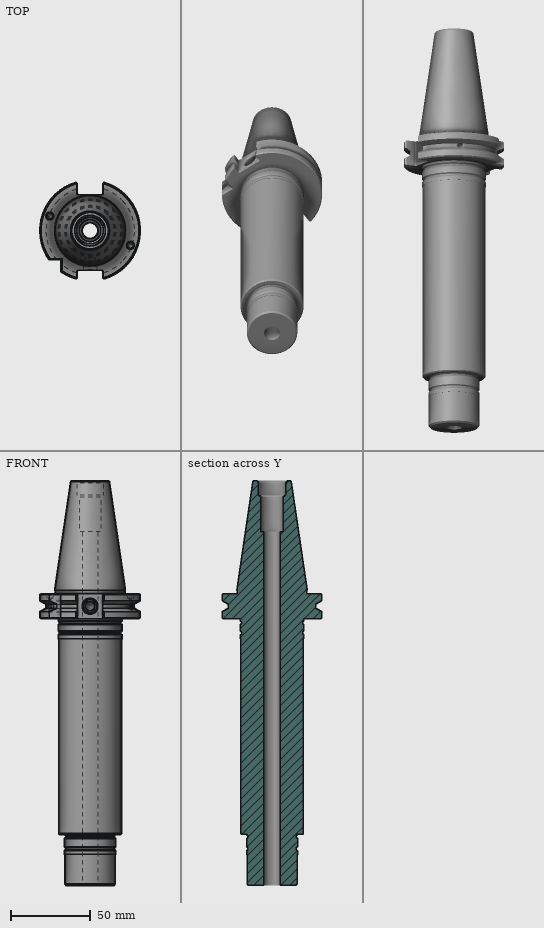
import cadquery as cq
import math

total_height = 256.2
gauge_z = 187.0
flange_top = 184.8
flange_thickness = 16.0
flange_bottom = flange_top - flange_thickness
body_bottom = 32.3

taper_ratio = 7 / 24
gauge_radius = 44.8 / 2
shank_neck_radius = 44.3 / 2
shank_top_radius = gauge_radius - (total_height - gauge_z) * taper_ratio / 2
shank_top_chamfer = 0.8
shank_base_fillet = 0.5

flange_radius = 63.5 / 2
flange_edge_chamfer = 0.8
groove_floor_radius = 28.0
groove_flank_angle = 30
groove_flank_height = (flange_radius - groove_floor_radius) * math.tan(math.radians(groove_flank_angle))
groove_mid_z = flange_bottom + flange_thickness / 2
groove_half_floor = 1.3
groove_half_mouth = groove_half_floor + groove_flank_height

cut_reach = flange_radius + 2.5
slot_half_width = 8.2
front_slot_floor = 25.0
rear_slot_floor = 22.8
notch_offset = 18.5
notch_edge_chamfer = 0.8
slot_corner_fillet = 0.8
slot_edge_chamfer = 0.8

body_radius = 40.0 / 2
body_collar_radius = 40.5 / 2
nose_radius = 32.0 / 2
nose_collar_radius = 32.5 / 2
body_edge_chamfer = 0.8
nose_edge_chamfer = 1.0
shoulder_height = 1.3
body_collar_height = 3.8
nose_collar_height = 5.0
collar_groove_width = 2.5
collar_ring_height = 2.3
collar_groove_depth = 0.8

bore_radius = 10.0 / 2
thread_radius = 13.8 / 2
counterbore_radius = 17.0 / 2
mouth_radius = 19.5 / 2
mouth_depth = 1.3
counterbore_depth = 9.0
cone_depth = 1.3
thread_depth = 32.0

slot_mouth_diameter = 10.0
slot_mouth_depth = 0.8
slot_step_diameter = 8.5
slot_step_depth = 5.6
slot_hole_diameter = 6.0
slot_hole_depth = 8.2

port_circle_radius = 27.2
port_angles = (160, 340)
top_port_diameter = 3.8
side_port_diameter = 3.3
port_mouth_diameter = 4.9
port_mouth_depth = 0.5
port_depth = 2.5
drill_point_angle = 118


def add_groove(profile, top, ring_radius):
    """Continue the profile down through one groove with sloped flanks."""
    floor_radius = ring_radius - collar_groove_depth
    bottom = top - collar_groove_width
    return (
        profile.lineTo(ring_radius, top)
        .lineTo(floor_radius, top - collar_groove_depth)
        .lineTo(floor_radius, bottom + collar_groove_depth)
        .lineTo(ring_radius, bottom)
    )


def add_collar(profile, top, height, ring_radius, core_radius):
    """Continue the profile through a groove, a collar, a second groove and a narrow ring."""
    second_groove_top = top - collar_groove_width - height
    ring_bottom = second_groove_top - collar_groove_width - collar_ring_height
    profile = add_groove(profile, top, ring_radius)
    profile = add_groove(profile, second_groove_top, ring_radius)
    return profile.lineTo(ring_radius, ring_bottom).lineTo(core_radius, ring_bottom)


def turned_blank():
    """Everything that is turned about the Z axis, without the bore."""
    shank_fillet_mid = shank_base_fillet * (1 - math.sqrt(0.5))
    outline = (
        cq.Workplane("XZ")
        .moveTo(0, total_height)
        .lineTo(shank_top_radius - shank_top_chamfer, total_height)
        .lineTo(shank_top_radius, total_height - shank_top_chamfer)
        .lineTo(gauge_radius, gauge_z)
        .lineTo(shank_neck_radius, gauge_z)
        .lineTo(shank_neck_radius, flange_top + shank_base_fillet)
        .threePointArc(
            (shank_neck_radius + shank_fillet_mid, flange_top + shank_fillet_mid),
            (shank_neck_radius + shank_base_fillet, flange_top),
        )
        .lineTo(flange_radius - flange_edge_chamfer, flange_top)
        .lineTo(flange_radius, flange_top - flange_edge_chamfer)
        .lineTo(flange_radius, groove_mid_z + groove_half_mouth)
        .lineTo(groove_floor_radius, groove_mid_z + groove_half_floor)
        .lineTo(groove_floor_radius, groove_mid_z - groove_half_floor)
        .lineTo(flange_radius, groove_mid_z - groove_half_mouth)
        .lineTo(flange_radius, flange_bottom + flange_edge_chamfer)
        .lineTo(flange_radius - flange_edge_chamfer, flange_bottom)
    )
    outline = outline.lineTo(body_collar_radius, flange_bottom)
    outline = add_collar(
        outline, flange_bottom - shoulder_height, body_collar_height, body_collar_radius, body_radius
    )
    outline = (
        outline.lineTo(body_radius, body_bottom + body_edge_chamfer)
        .lineTo(body_radius - body_edge_chamfer, body_bottom)
    )
    outline = add_collar(outline, body_bottom, nose_collar_height, nose_collar_radius, nose_radius)
    outline = (
        outline.lineTo(nose_radius, nose_edge_chamfer)
        .lineTo(nose_radius - nose_edge_chamfer, 0)
        .lineTo(0, 0)
        .close()
    )
    return outline.revolve(360, (0, 0, 0), (0, 1, 0))


def central_bore():
    """Stepped through bore: flared mouth, counterbore, cone, thread core and a plain bore below."""
    return (
        cq.Workplane("XZ")
        .moveTo(0, total_height)
        .lineTo(mouth_radius, total_height)
        .lineTo(counterbore_radius, total_height - mouth_depth)
        .lineTo(counterbore_radius, total_height - counterbore_depth)
        .lineTo(thread_radius, total_height - counterbore_depth - cone_depth)
        .lineTo(thread_radius, total_height - thread_depth)
        .lineTo(bore_radius, total_height - thread_depth)
        .lineTo(bore_radius, 0)
        .lineTo(0, 0)
        .close()
        .revolve(360, (0, 0, 0), (0, 1, 0))
    )


def flange_prism(points):
    """Vertical prism over the flange thickness."""
    base = cq.Workplane("XY").workplane(offset=flange_bottom)
    return base.polyline(points).close().extrude(flange_thickness)


def wall_end(wall_offset):
    """Distance along a wall, at the given offset from the axis, where it meets the flange rim."""
    return math.sqrt(flange_radius**2 - wall_offset**2)


def drive_slot(floor):
    """Slot on the +Y side with rounded floor corners and flared ends."""
    mouth_half_width = slot_half_width + slot_edge_chamfer
    lip = wall_end(mouth_half_width)
    flare_start = lip - slot_edge_chamfer
    slot = flange_prism([
        (-slot_half_width, floor),
        (slot_half_width, floor),
        (slot_half_width, cut_reach),
        (-slot_half_width, cut_reach),
    ])
    slot = slot.edges("|Z and <Y").fillet(slot_corner_fillet)
    flare = flange_prism([
        (-slot_half_width, flare_start),
        (slot_half_width, flare_start),
        (mouth_half_width, lip),
        (mouth_half_width, cut_reach),
        (-mouth_half_width, cut_reach),
        (-mouth_half_width, lip),
    ])
    return slot.union(flare)


def orientation_notch():
    """Square corner notch on the -X, -Y side, bevelled along the flange top and bottom."""
    center = -(cut_reach + notch_offset) / 2
    side = cut_reach - notch_offset
    notch = cq.Workplane("XY").box(side, side, flange_thickness).translate((center, center, groove_mid_z))
    inner_width = 2 * side
    outer_width = inner_width + 2 * notch_edge_chamfer
    for face_z, inward in ((flange_top, -1), (flange_bottom, 1)):
        bevel = (
            cq.Workplane("XY", origin=(-cut_reach, -cut_reach, face_z))
            .rect(outer_width, outer_width)
            .workplane(offset=inward * notch_edge_chamfer)
            .rect(inner_width, inner_width)
            .loft()
        )
        notch = notch.union(bevel)
    return notch


def drill_point(diameter, start, direction):
    """Cone left by the tip of a drill."""
    radius = diameter / 2
    height = radius / math.tan(math.radians(drill_point_angle / 2))
    return cq.Workplane(cq.Solid.makeCone(radius, 0, height, start, direction))


def drill(diameter, depth, start, direction):
    """Drilled hole with a conical end below its full-diameter depth."""
    shaft = cq.Workplane(cq.Solid.makeCylinder(diameter / 2, depth, start, direction))
    return shaft.union(drill_point(diameter, start + direction * depth, direction))


def countersink(mouth_diameter, diameter, depth, start, direction):
    """Conical opening narrowing from the mouth to the hole."""
    return cq.Workplane(cq.Solid.makeCone(mouth_diameter / 2, diameter / 2, depth, start, direction))


def slot_hole():
    """Stepped hole with a countersunk mouth in the floor of the front drive slot."""
    start = cq.Vector(0, -front_slot_floor, groove_mid_z)
    inward = cq.Vector(0, 1, 0)
    step = cq.Solid.makeCylinder(slot_step_diameter / 2, slot_step_depth, start, inward)
    mouth = countersink(slot_mouth_diameter, slot_step_diameter, slot_mouth_depth, start, inward)
    return drill(slot_hole_diameter, slot_hole_depth, start, inward).union(cq.Workplane(step)).union(mouth)


def flange_port(angle):
    """Countersunk hole in the flange top and, below it, a radial one in the groove floor."""
    outward = cq.Vector(math.cos(math.radians(angle)), math.sin(math.radians(angle)), 0)
    inward = outward * -1
    down = cq.Vector(0, 0, -1)
    top = outward * port_circle_radius + cq.Vector(0, 0, flange_top)
    side = outward * groove_floor_radius + cq.Vector(0, 0, groove_mid_z)
    top_mouth = countersink(port_mouth_diameter, top_port_diameter, port_mouth_depth, top, down)
    side_mouth = countersink(port_mouth_diameter, side_port_diameter, port_mouth_depth, side, inward)
    top_port = drill(top_port_diameter, port_depth, top, down).union(top_mouth)
    side_port = drill(side_port_diameter, port_depth, side, inward).union(side_mouth)
    return top_port.union(side_port)


result = (
    turned_blank()
    .cut(central_bore())
    .cut(drive_slot(rear_slot_floor))
    .cut(drive_slot(front_slot_floor).rotate((0, 0, 0), (0, 0, 1), 180))
    .cut(orientation_notch())
    .cut(slot_hole())
)
for port_angle in port_angles:
    result = result.cut(flange_port(port_angle))